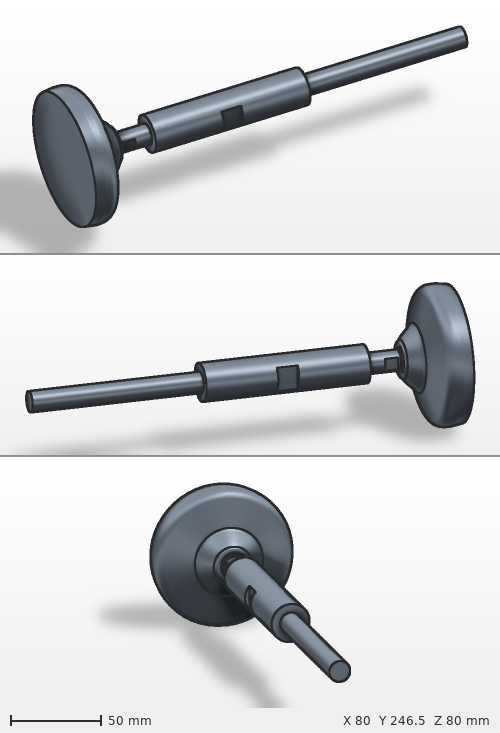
import cadquery as cq
import math

LENGTH = 246.5

FOOT_RADIUS = 80.0 / 2
BASE_RADIUS = 39.2
TAPER_TOP = 6.2
RIM_TOP = 9.0
SHOULDER_FILLET = 7.1
CONE_ANGLE = math.radians(20.5)
DOME_FOOT_RADIUS = 18.0
DOME_FOOT_Y = 23.2
CONE_TOP_RADIUS = 19.7
DOME_MID_RADIUS = 15.0
DOME_MID_Y = 26.5
LIP_OUTER_RADIUS = 11.0
LIP_OUTER_Y = 29.8
LIP_CREST_RADIUS = 9.0
LIP_CREST_Y = 31.3
LIP_INNER_RADIUS = 7.0

ROD_RADIUS = 12.0 / 2
ROD_START = 32.0
NECK_RADIUS = 3.5
NECK_START = 22.2
ROD_FLAT_START = 33.5
ROD_FLAT_LENGTH = 7.6
ROD_FLAT_WIDTH = 9.9

SLEEVE_RADIUS = 22.0 / 2
SLEEVE_START = 51.3
SLEEVE_LENGTH = 95.6
SLEEVE_FLAT_LENGTH = 12.0
SLEEVE_FLAT_WIDTH = 17.0
SLEEVE_FLAT_START = SLEEVE_START + (SLEEVE_LENGTH - SLEEVE_FLAT_LENGTH) / 2


def cylinder(radius, start, length):
    """A cylinder along +Y that begins at Y = start."""
    return cq.Workplane("XZ", origin=(0, start, 0)).circle(radius).extrude(-length)


def cut_wrench_flats(body, radius, width, start, length):
    """Cut two opposite flats, square to X and `width` apart, into a round body."""
    depth = radius - width / 2
    for side in (-1, 1):
        x = side * (width / 2 + depth)
        y = start + length / 2
        cutter = cq.Workplane("XY").box(2 * depth, length, 2 * radius)
        body = body.cut(cutter.translate((x, y, 0)))
    return body


def make_foot():
    """Turned foot plate with a domed hub, a rounded lip and a hole for the neck."""
    fillet_center_x = FOOT_RADIUS - SHOULDER_FILLET

    def fillet_point(angle):
        return (
            fillet_center_x + SHOULDER_FILLET * math.cos(angle),
            RIM_TOP + SHOULDER_FILLET * math.sin(angle),
        )

    fillet_end_angle = math.pi / 2 - CONE_ANGLE
    fillet_end = fillet_point(fillet_end_angle)
    cone_top_y = fillet_end[1] + (fillet_end[0] - CONE_TOP_RADIUS) * math.tan(CONE_ANGLE)

    profile = (
        cq.Workplane("XY")
        .moveTo(0, 0)
        .lineTo(BASE_RADIUS, 0)
        .lineTo(FOOT_RADIUS, TAPER_TOP)
        .lineTo(FOOT_RADIUS, RIM_TOP)
        .threePointArc(fillet_point(fillet_end_angle / 2), fillet_end)
        .lineTo(CONE_TOP_RADIUS, cone_top_y)
        .lineTo(DOME_FOOT_RADIUS, DOME_FOOT_Y)
        .threePointArc((DOME_MID_RADIUS, DOME_MID_Y), (LIP_OUTER_RADIUS, LIP_OUTER_Y))
        .threePointArc((LIP_CREST_RADIUS, LIP_CREST_Y), (LIP_INNER_RADIUS, LIP_OUTER_Y))
        .lineTo(0, LIP_OUTER_Y)
        .close()
    )
    foot = profile.revolve(360, (0, 0, 0), (0, 1, 0))
    return foot.cut(cylinder(NECK_RADIUS, NECK_START, LIP_CREST_Y - NECK_START))


def make_rod():
    """Rod running through the sleeve, with wrench flats just above its neck."""
    rod = cylinder(ROD_RADIUS, ROD_START, LENGTH - ROD_START)
    rod = rod.union(cylinder(NECK_RADIUS, NECK_START, ROD_START - NECK_START))
    return cut_wrench_flats(rod, ROD_RADIUS, ROD_FLAT_WIDTH, ROD_FLAT_START, ROD_FLAT_LENGTH)


def make_sleeve():
    """Round sleeve bored to the rod, with wrench flats at mid-length."""
    sleeve = cylinder(SLEEVE_RADIUS, SLEEVE_START, SLEEVE_LENGTH)
    sleeve = sleeve.cut(cylinder(ROD_RADIUS, SLEEVE_START, SLEEVE_LENGTH))
    return cut_wrench_flats(
        sleeve, SLEEVE_RADIUS, SLEEVE_FLAT_WIDTH, SLEEVE_FLAT_START, SLEEVE_FLAT_LENGTH
    )


foot = make_foot()
rod = make_rod()
sleeve = make_sleeve()

result = cq.Compound.makeCompound([foot.val(), rod.val(), sleeve.val()])